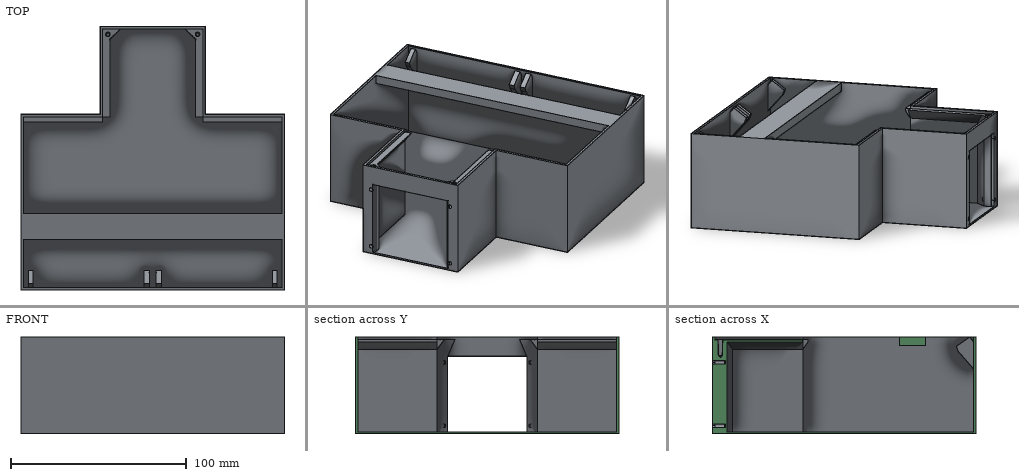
import cadquery as cq

length = 150
height = 55.0
body_depth = 100.0
stem_width = 60
wall = 1.5
floor = 1.0

seat_drop = 1.5
rail_height = 5.5
stem_rail_width = 4.0
body_rail_width = 2.8
body_rail_lip = 1.5

bar_front = 28.6
bar_width = 15
bar_thickness = 5.0

column_leg = 10.0
lid_hole_inset = 4.5
lid_hole_mouth = 2.5
lid_hole_end = 2.1
lid_hole_depth = 9
lid_hole_tip = 1.0

window_width = 47.7
window_top = 44.0
relief_width = 45
rear_hole_diameter = 2.1
rear_hole_x = 24.9
rear_hole_low = 4.5
rear_hole_spacing = 36
rear_hole_depth = 7.2

tab_peak_reach = 2.1
tab_reach = 9.8
tab_peak_drop = 2.8
tab_tip_drop = 5.4
tab_tip_height = 3
tab_tip_undercut = 1.2
outer_tab_x = 69.5
outer_tab_width = 2.7
inner_tab_x = 3.5
inner_tab_width = 3.2

half_length = length / 2
stem_half = stem_width / 2
stem_inner = stem_half - wall
body_back_inner = body_depth - wall
stem_back_inner = length - wall
seat = height - seat_drop
column_tip_x = stem_inner - column_leg
sides = (-1, 1)


def block(x_range, y_range, z_range):
    size = [high - low for low, high in (x_range, y_range, z_range)]
    corner = (x_range[0], y_range[0], z_range[0])
    return cq.Workplane("XY").box(*size, centered=False).translate(corner)


def prism_along_x(yz_points, x_range):
    start, end = x_range
    return cq.Workplane("YZ", origin=(start, 0, 0)).polyline(yz_points).close().extrude(end - start)


def prism_along_y(xz_points, y_range):
    start, end = y_range
    return cq.Workplane("XZ", origin=(0, start, 0)).polyline(xz_points).close().extrude(start - end)


def t_block(inset, bottom):
    """T-shaped block up to the rim, inset from the outer faces."""
    body_x = half_length - inset
    stem_x = stem_half - inset
    z_range = (bottom, height)
    body = block((-body_x, body_x), (inset, body_depth - inset), z_range)
    stem = block((-stem_x, stem_x), (inset, length - inset), z_range)
    return body.union(stem)


def stem_rail(side):
    bottom = seat - rail_height
    points = [
        (side * stem_half, seat),
        (side * (stem_inner - stem_rail_width), seat),
        (side * stem_inner, bottom),
        (side * stem_half, bottom),
    ]
    return prism_along_y(points, (body_back_inner, length))


def body_rail(side):
    bottom = seat - rail_height
    front = body_back_inner - body_rail_width
    points = [
        (body_depth, seat),
        (front, seat),
        (front, seat - body_rail_lip),
        (body_back_inner, bottom),
        (body_depth, bottom),
    ]
    return prism_along_x(points, sorted((side * stem_inner, side * half_length)))


def column(side):
    points = [
        (side * stem_half, length),
        (side * column_tip_x, length),
        (side * column_tip_x, stem_back_inner),
        (side * stem_inner, stem_back_inner - column_leg),
        (side * stem_half, stem_back_inner - column_leg),
    ]
    return cq.Workplane("XY").polyline(points).close().extrude(seat)


def window():
    """Opening in the rear wall together with the relief between the columns."""
    half_relief = relief_width / 2
    relief_points = [
        (-half_relief, floor),
        (half_relief, floor),
        (half_relief, window_top),
        (column_tip_x, seat),
        (-column_tip_x, seat),
        (-half_relief, window_top),
    ]
    relief = prism_along_y(relief_points, (stem_back_inner - column_leg, stem_back_inner))
    half_window = window_width / 2
    opening = block((-half_window, half_window), (stem_back_inner, length), (floor, window_top))
    return relief.union(opening)


def lid_hole(side):
    """Tapered blind screw hole with a conical end, in the top of a column."""
    center = (side * (stem_half - lid_hole_inset), length - lid_hole_inset, seat)
    half_profile = [
        (0, 0),
        (lid_hole_mouth / 2, 0),
        (lid_hole_end / 2, -lid_hole_depth),
        (0, -lid_hole_depth - lid_hole_tip),
    ]
    axis_start, axis_end = (0, 0), (0, 1)
    outline = cq.Workplane("XZ", origin=center).polyline(half_profile).close()
    return outline.revolve(360, axis_start, axis_end)


def rear_hole(side, z):
    """Blind screw hole entering a column from the rear face."""
    center = (side * rear_hole_x, length, z)
    return cq.Workplane("XZ", origin=center).circle(rear_hole_diameter / 2).extrude(rear_hole_depth)


def tab(x, width):
    tip_y = wall + tab_reach
    tip_z = height - tab_tip_drop
    tip_bottom = tip_z - tab_tip_height
    points = [
        (0, height - tab_peak_drop),
        (wall, height - tab_peak_drop),
        (wall + tab_peak_reach, height),
        (tip_y, tip_z),
        (tip_y - tab_tip_undercut, tip_bottom),
        (wall, tip_bottom - tab_reach),
        (0, tip_bottom - tab_reach),
    ]
    return prism_along_x(points, (x - width / 2, x + width / 2))


result = t_block(0, 0).cut(t_block(wall, floor))
result = result.union(
    block(
        (-half_length, half_length),
        (bar_front, bar_front + bar_width),
        (height - bar_thickness, height),
    )
)
for side in sides:
    result = result.union(column(side))
result = result.cut(window())

for side in sides:
    result = result.union(stem_rail(side)).union(body_rail(side))
    result = result.union(tab(side * outer_tab_x, outer_tab_width))
    result = result.union(tab(side * inner_tab_x, inner_tab_width))
    result = result.cut(lid_hole(side))
    for z in (rear_hole_low, rear_hole_low + rear_hole_spacing):
        result = result.cut(rear_hole(side, z))